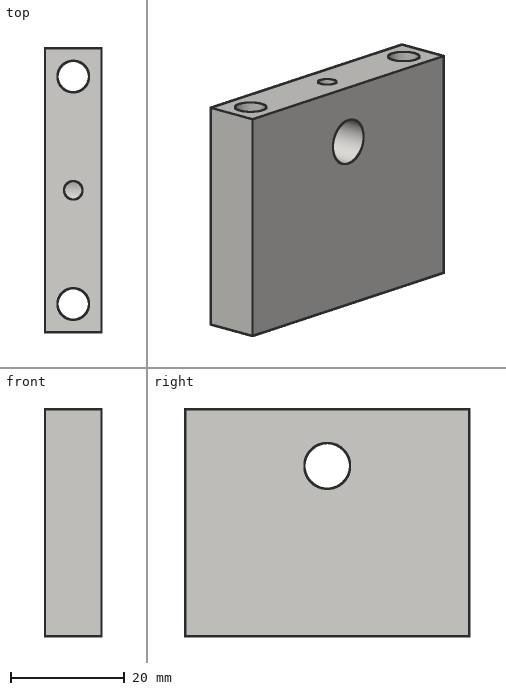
import cadquery as cq

thickness = 10.0
width = 50.0
height = 40.0

bore_diameter = 8.0
bore_depth_below_top = 10.0
bore_z = height / 2 - bore_depth_below_top

mount_diameter = 5.5
mount_edge_distance = 5.0
mount_spacing = width - 2 * mount_edge_distance

screw_diameter = 3.24
screw_depth = bore_depth_below_top


def make_block():
    return cq.Workplane("XY").box(thickness, width, height)


def cut_cross_bore(body):
    bore = (
        cq.Workplane("YZ")
        .center(0, bore_z)
        .circle(bore_diameter / 2)
        .extrude(thickness / 2, both=True)
    )
    return body.cut(bore)


def cut_mounting_holes(body):
    return (
        body.faces(">Z")
        .workplane(origin=(0, 0, 0))
        .rarray(1, mount_spacing, 1, 2)
        .hole(mount_diameter)
    )


def cut_screw_hole(body):
    return (
        body.faces(">Z")
        .workplane(origin=(0, 0, 0))
        .hole(screw_diameter, screw_depth)
    )


result = make_block()
result = cut_cross_bore(result)
result = cut_mounting_holes(result)
result = cut_screw_hole(result)